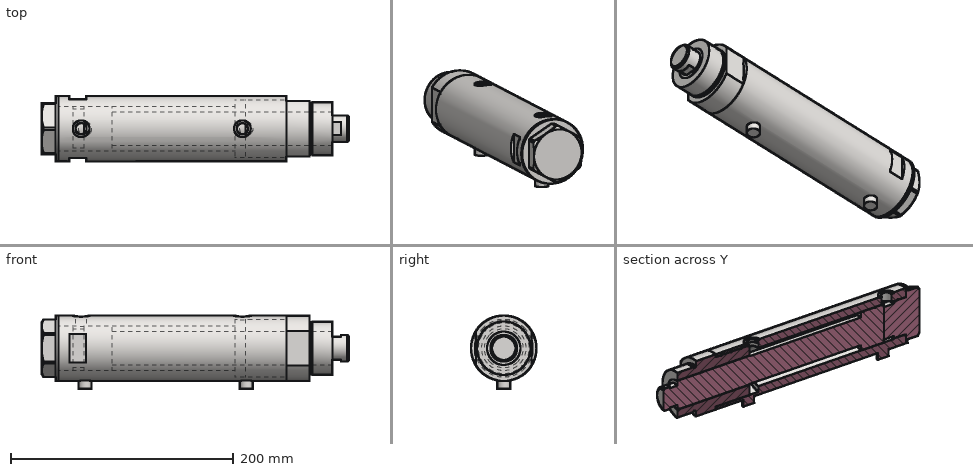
import cadquery as cq
import math


body_radius = 29.5

flange_start = 12.5
tube_start = 15.0
tube_end = 220.0
collar_start = 241.0
thread_start = 243.7
thread_end = 261.3
total_length = 276.2

hex_across_flats = 46.0
hex_corner_diameter = 52.0
hex_chamfer_angle = 30.0
plug_length = 13.0
nose_radius = 17.5
nose_end = 38.3

bore_radius = 20.0
gland_bore_radius = 26.0
gland_bore_start = 174.0

station_count = 2
station_spacing = 145.0

first_port_x = 35.5
port_diameter = 10.0
spotface_diameter = 15.0
spotface_height = 28.5

first_pin_x = 39.0
pin_diameter = 12.0
pin_bottom = -36.6

tube_flat_start = 25.0
tube_flat_length = 15.0
tube_across_flats = 53.0

gland_tail_start = 183.1
gland_across_flats = 50.0
thread_radius = 24.0
neck_radius = 22.8
neck_cone_radius = 24.1
neck_start = 242.3
neck_end = 242.9

piston_length = 25.0
rod_radius = 15.0
rod_end_radius = 12.0
rod_end_chamfer = 1.5
rod_across_flats = 21.0
rod_flat_end = 269.0


def cylinder_x(radius, start, end):
    """A round bar along the X axis."""
    return cq.Workplane("YZ", origin=(start, 0, 0)).circle(radius).extrude(end - start)


def side_cutters(direction, across_flats, start, end):
    """Two blocks that leave a bar with parallel flats facing +/- Y or +/- Z."""
    size = 2 * body_radius
    offset = (across_flats + size) / 2
    length = end - start
    blocks = cq.Workplane("XY")
    for side in (-1, 1):
        y, z = (side * offset, 0) if direction == "Y" else (0, side * offset)
        blocks = blocks.add(cq.Workplane("XY", origin=(start + length / 2, y, z)).box(length, size, size))
    return blocks.combine()


def make_cap():
    """Hex head with flange, threaded plug and a slimmer nose."""
    flat_radius = hex_across_flats / 2
    corner_radius = hex_corner_diameter / 2
    chamfer_length = (corner_radius - flat_radius) * math.tan(math.radians(hex_chamfer_angle))
    hexagon = (
        cq.Workplane("YZ")
        .polygon(6, hex_across_flats, circumscribed=True)
        .extrude(flange_start)
    )
    envelope = (
        cq.Workplane("XY")
        .polyline([
            (0, 0),
            (0, flat_radius),
            (chamfer_length, corner_radius),
            (flange_start, corner_radius),
            (flange_start, 0),
        ])
        .close()
        .revolve(360, (0, 0, 0), (1, 0, 0))
    )
    head = hexagon.intersect(envelope)
    flange = cylinder_x(body_radius, flange_start, tube_start)
    plug_end = tube_start + plug_length
    plug = cylinder_x(bore_radius, tube_start, plug_end)
    nose = cylinder_x(nose_radius, plug_end, nose_end)
    return head.union(flange).union(plug).union(nose)


def make_tube():
    """Bored tube with two spotfaced ports on top and two pins underneath."""
    tube = cylinder_x(body_radius, tube_start, tube_end)
    for index in range(station_count):
        pin_x = first_pin_x + index * station_spacing
        pin = cq.Workplane("XY", origin=(pin_x, 0, pin_bottom)).circle(pin_diameter / 2).extrude(-pin_bottom)
        tube = tube.union(pin)
    tube = tube.cut(cylinder_x(bore_radius, tube_start, tube_end))
    tube = tube.cut(cylinder_x(gland_bore_radius, gland_bore_start, tube_end))
    for index in range(station_count):
        port_x = first_port_x + index * station_spacing
        port = cq.Workplane("XY", origin=(port_x, 0, 0)).circle(port_diameter / 2).extrude(body_radius)
        spotface = (
            cq.Workplane("XY", origin=(port_x, 0, spotface_height))
            .circle(spotface_diameter / 2)
            .extrude(body_radius - spotface_height)
        )
        tube = tube.cut(port).cut(spotface)
    tube_flat_end = tube_flat_start + tube_flat_length
    return tube.cut(side_cutters("Y", tube_across_flats, tube_flat_start, tube_flat_end))


def make_gland():
    """Rod guide: tail inside the tube, flatted head, undercut and threaded collar."""
    profile = [
        (gland_tail_start, rod_radius),
        (gland_tail_start, gland_bore_radius),
        (tube_end, gland_bore_radius),
        (tube_end, body_radius),
        (collar_start, body_radius),
        (collar_start, neck_cone_radius),
        (neck_start, neck_radius),
        (neck_end, neck_radius),
        (thread_start, thread_radius),
        (thread_end, thread_radius),
        (thread_end, rod_radius),
    ]
    gland = cq.Workplane("XY").polyline(profile).close().revolve(360, (0, 0, 0), (1, 0, 0))
    return gland.cut(side_cutters("Y", gland_across_flats, tube_end, collar_start))


def make_piston_rod():
    """Piston, rod and the slimmer rod end with two wrench flats."""
    piston = cylinder_x(bore_radius, nose_end, nose_end + piston_length)
    rod = cylinder_x(rod_radius, nose_end, thread_end)
    rod_end = cylinder_x(rod_end_radius, thread_end, total_length).faces(">X").chamfer(rod_end_chamfer)
    rod_end = rod_end.cut(side_cutters("Z", rod_across_flats, thread_end, rod_flat_end))
    return piston.union(rod).union(rod_end)


cap = make_cap()
tube = make_tube()
gland = make_gland()
piston_rod = make_piston_rod()

result = cq.Compound.makeCompound([cap.val(), tube.val(), gland.val(), piston_rod.val()])